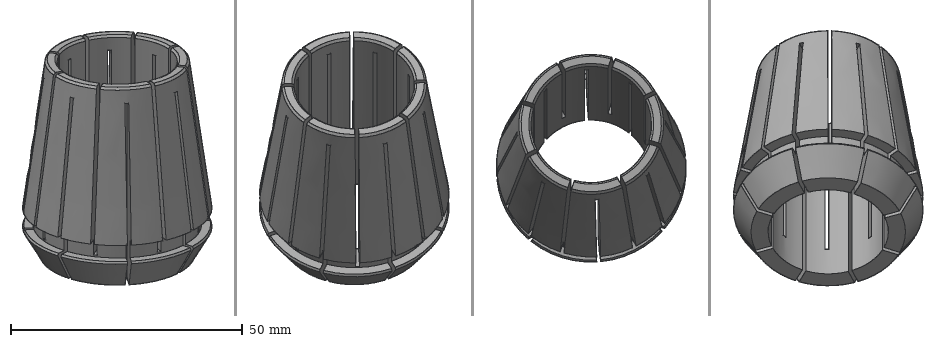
import cadquery as cq
import math

overall_length = 46.0
max_radius = 20.5
bore_radius = 13.0

taper_angle = 8.0
taper_base_z = 11.0
top_chamfer = 0.5

nose_angle = 30.0
nose_edge_z = 6.6
flange_top_z = 7.1
flange_chamfer_width = 0.3
groove_radius = 18.25

slot_width = 0.85
slot_count = 8
slot_pitch = 360.0 / slot_count
uncut_rim_height = 3.5
lower_slot_top_z = overall_length - uncut_rim_height
upper_slot_floor_z = 7.5


def cone_radius(height, angle):
    """Radius left after narrowing from the maximum radius over a height."""
    return max_radius - height * math.tan(math.radians(angle))


def collet_body():
    """Revolved collet: nose cone, groove, main taper and chamfered bore."""
    nose_radius = cone_radius(nose_edge_z, nose_angle)
    chamfer_z = overall_length - top_chamfer
    shoulder_radius = cone_radius(chamfer_z - taper_base_z, taper_angle)
    flange_top_radius = max_radius - flange_chamfer_width
    profile = [
        (bore_radius, 0),
        (nose_radius, 0),
        (max_radius, nose_edge_z),
        (flange_top_radius, flange_top_z),
        (groove_radius, flange_top_z),
        (groove_radius, taper_base_z),
        (max_radius, taper_base_z),
        (shoulder_radius, chamfer_z),
        (shoulder_radius - top_chamfer, overall_length),
        (bore_radius + top_chamfer, overall_length),
        (bore_radius, chamfer_z),
    ]
    return cq.Workplane("XZ").polyline(profile).close().revolve(360, (0, 0), (0, 1))


def radial_slots(bottom_z, top_z, start_angle):
    """Ring of radial slot cutters reaching from the axis past the outside."""
    cutters = cq.Workplane("XY")
    slot = cq.Workplane("XY").workplane(offset=bottom_z).box(
        2 * max_radius, slot_width, top_z - bottom_z, centered=(False, True, False)
    )
    for index in range(slot_count):
        angle = start_angle + index * slot_pitch
        cutters = cutters.add(slot.rotate((0, 0, 0), (0, 0, 1), angle))
    return cutters.combine()


lower_slots = radial_slots(0, lower_slot_top_z, 0)
upper_slots = radial_slots(upper_slot_floor_z, overall_length, slot_pitch / 2)

result = collet_body().cut(lower_slots).cut(upper_slots)